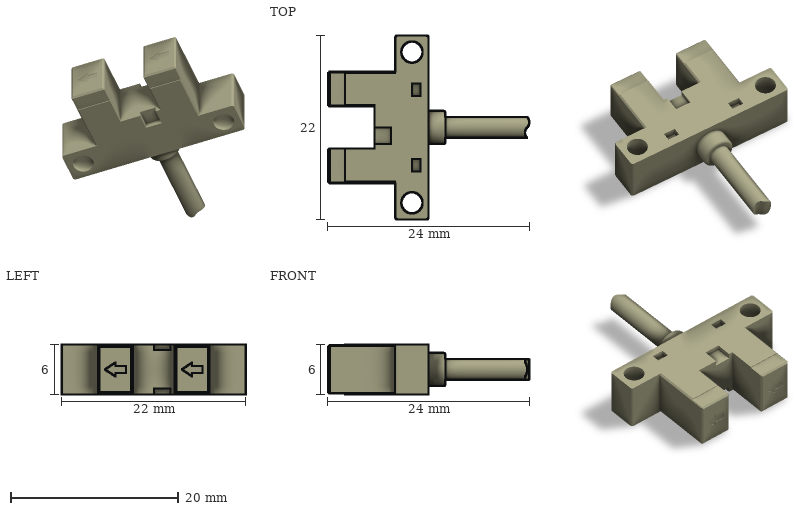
import cadquery as cq


thickness = 6.0
body_length = 12.0
flange_depth = 4.0
flange_span = 22.0
flange_corner_radius = 0.3
flange_front = body_length - flange_depth

slot_width = 5.0
slot_depth = 5.5
arms_span = 13.36
arm_width = (arms_span - slot_width) / 2
arm_center = (arms_span + slot_width) / 4
arm_end = flange_front + flange_depth / 2
arm_chamfer = 0.2
tip_length = 2.0
tip_step = 0.1

arrow_length = 2.5
arrow_width = 1.66
arrow_shaft_width = 0.8
arrow_depth = 0.05

hole_diameter = 2.5
hole_spacing = 18.0
hole_x = flange_front + flange_depth / 2

notch_size = 2.0
notch_depth = 0.7
notch_y = -notch_size / 2
window_length = 1.0
window_width = 1.5
window_depth = 1.0
window_spacing = 9.0
window_x = hole_x + window_length / 2

collar_diameter = 4.0
collar_length = 2.0
collar_fillet = 0.3
cable_diameter = 2.5
overall_length = 24.03
break_wave = 0.26
break_x = overall_length - break_wave


def block(x_min, x_max, y_min, y_max, z_min=-thickness / 2, z_max=thickness / 2):
    """Box given by its limits along each axis."""
    return (
        cq.Workplane("XY")
        .box(x_max - x_min, y_max - y_min, z_max - z_min, centered=False)
        .translate((x_min, y_min, z_min))
    )


def make_base():
    """Flange with rounded vertical corners and the bridge that closes the slot."""
    flange = block(flange_front, body_length, -flange_span / 2, flange_span / 2)
    flange = flange.edges("|Z").fillet(flange_corner_radius)
    bridge = block(slot_depth, body_length, -arm_center, arm_center)
    return flange.union(bridge)


def make_arm(side, long_edges):
    """Arm on the +Y (side = 1) or -Y (side = -1) side of the slot, with a slightly thinner chamfered tip.

    Three of its long edges are chamfered. The fourth stays sharp: it borders the slot, at the bottom
    of the +Y arm and at the top of the -Y arm.
    """
    center = side * arm_center
    y_min = center - arm_width / 2
    y_max = center + arm_width / 2
    arm = block(0, arm_end, y_min, y_max)
    arm = arm.edges(long_edges).chamfer(arm_chamfer)

    tip_top = thickness / 2 - tip_step
    tip = block(0, tip_length, y_min, y_max, -tip_top, tip_top).faces("<X").edges().chamfer(arm_chamfer)
    shank = block(tip_length, arm_end, y_min, y_max)
    return arm.intersect(tip.union(shank)).cut(make_arrow(center))


def make_arrow(center):
    """Arrow pointing +Y, sunk into the front face of an arm."""
    tip = center + arrow_length / 2
    tail = center - arrow_length / 2
    half_head = arrow_width / 2
    half_shaft = arrow_shaft_width / 2
    outline = [
        (tip, 0),
        (center, half_head),
        (center, half_shaft),
        (tail, half_shaft),
        (tail, -half_shaft),
        (center, -half_shaft),
        (center, -half_head),
    ]
    return cq.Workplane("YZ").polyline(outline).close().extrude(arrow_depth)


def make_holes():
    """Two mounting holes through the flange."""
    return (
        cq.Workplane("XY", origin=(hole_x, 0, 0))
        .rarray(1, hole_spacing, 1, 2)
        .circle(hole_diameter / 2)
        .extrude(thickness, both=True)
    )


def make_notches():
    """Matching notches at the slot bottom, one in the top face and one in the bottom face."""
    notch = block(
        slot_depth,
        slot_depth + notch_size,
        notch_y - notch_size / 2,
        notch_y + notch_size / 2,
        thickness / 2 - notch_depth,
    )
    return notch.union(notch.mirror("XY"))


def make_windows():
    """Two small rectangular pockets in the top face."""
    return (
        cq.Workplane("XY", origin=(window_x, 0, thickness / 2))
        .rarray(1, window_spacing, 1, 2)
        .rect(window_length, window_width)
        .extrude(-window_depth)
    )


def make_collar():
    """Round collar where the cable enters the body."""
    collar = cq.Workplane("YZ", origin=(body_length, 0, 0)).circle(collar_diameter / 2).extrude(collar_length)
    return collar.faces(">X").edges().fillet(collar_fillet)


def make_cable():
    """Cable ending in an S-shaped break: a bulge on the +Y half and a hollow on the -Y half."""
    radius = cable_diameter / 2
    rod = cq.Workplane("YZ", origin=(body_length, 0, 0)).circle(radius).extrude(overall_length - body_length)
    broken_profile = (
        cq.Workplane("XY")
        .moveTo(body_length, radius)
        .lineTo(break_x, radius)
        .threePointArc((break_x + break_wave, radius / 2), (break_x, 0))
        .threePointArc((break_x - break_wave, -radius / 2), (break_x, -radius))
        .lineTo(body_length, -radius)
        .close()
        .extrude(cable_diameter, both=True)
    )
    return rod.intersect(broken_profile)


body = make_base()
body = body.union(make_arm(1, "|X and (>Z or >Y)"))
body = body.union(make_arm(-1, "|X and (<Z or <Y)"))
body = body.cut(make_holes()).cut(make_notches()).cut(make_windows())
result = body.union(make_collar()).union(make_cable())